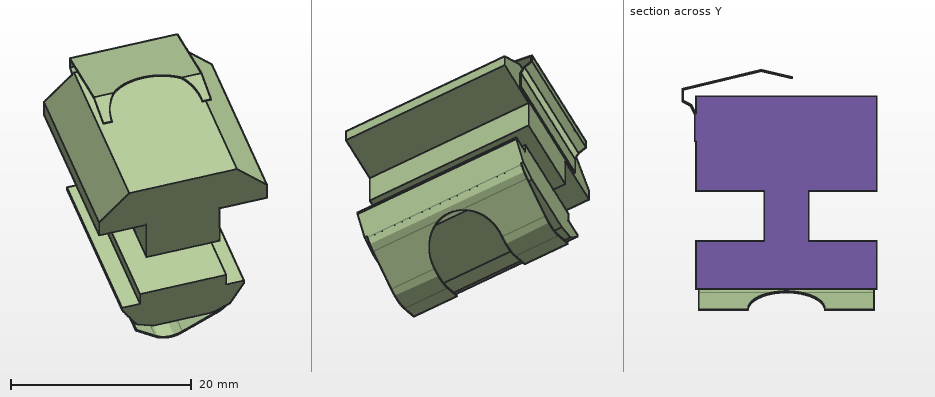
import cadquery as cq
import math

body_length = 20.0
screw_diameter = 5.0
screw_gap = 5.5
strip_thickness = 0.15

clamp_width = 19.5
clamp_chamfer = 3.5
clamp_shoulder_height = 2.0
stem_width = 8.5
stem_height = 5.0
clamp_bottom = screw_gap
shoulder_bottom = clamp_bottom + stem_height
shoulder_top = shoulder_bottom + clamp_shoulder_height
clamp_top = shoulder_top + clamp_chamfer
plateau_width = clamp_width - 2 * clamp_chamfer

nut_neck_width = 10.0
nut_neck_height = 1.5
nut_width = 14.15
nut_lip_height = 0.4
nut_corner_width = 10.9
nut_base_width = 6.9
nut_height = 5.35
nut_corner_z = -4.55
nut_lip_z = -nut_neck_height - nut_lip_height

upper_overhang = 1.53
upper_tip_x = 0.65
upper_tip_rise = 2.1
upper_peak_x = -2.8
upper_peak_rise = 2.9
upper_shoulder_rise = 0.8
upper_hook_drop = 0.6
upper_crease_offset = 0.6
upper_crease_drop = 1.1
upper_leg_drop = 2.0
upper_leg_end_drop = 5.0
upper_notch_radius = 5.25

lower_length = 19.4
lower_start_z = -2.3
lower_bend_z = -5.43
lower_valley_y = -1.7
lower_valley_z = -8.48
lower_tip_y = -5.4
lower_tip_z = -5.82
lower_bend_radius = 3.0
lower_notch_radius = 4.25


def mirrored_prism(half_outline):
    """Extrude a YZ outline, given on its +Y half from top to bottom, along the body."""
    other_half = [(-y, z) for y, z in reversed(half_outline)]
    return (
        cq.Workplane("YZ")
        .polyline(half_outline + other_half)
        .close()
        .extrude(body_length / 2, both=True)
    )


def left_offset(points, distance):
    """Shift an open polyline to the left of its direction, with mitred corners."""
    headings = [math.atan2(b[1] - a[1], b[0] - a[0]) for a, b in zip(points, points[1:])]
    arriving = headings[:1] + headings
    leaving = headings + headings[-1:]
    shifted = []
    for (u, v), heading_in, heading_out in zip(points, arriving, leaving):
        mean_heading = (heading_in + heading_out) / 2
        miter = distance / math.cos((heading_out - heading_in) / 2)
        shifted.append((u - miter * math.sin(mean_heading), v + miter * math.cos(mean_heading)))
    return shifted


def bent_strip(plane, points, shifted, width):
    """Extrude the thin band between a polyline and its offset, centred on the plane."""
    return (
        cq.Workplane(plane)
        .polyline(points + shifted[::-1])
        .close()
        .extrude(width / 2, both=True)
    )


def make_clamp():
    return mirrored_prism([
        (plateau_width / 2, clamp_top),
        (clamp_width / 2, shoulder_top),
        (clamp_width / 2, shoulder_bottom),
        (stem_width / 2, shoulder_bottom),
        (stem_width / 2, clamp_bottom),
    ])


def make_nut():
    return mirrored_prism([
        (nut_neck_width / 2, 0),
        (nut_neck_width / 2, -nut_neck_height),
        (nut_width / 2, -nut_neck_height),
        (nut_width / 2, nut_lip_z),
        (nut_corner_width / 2, nut_corner_z),
        (nut_base_width / 2, -nut_height),
    ])


def make_screw():
    return cq.Workplane("XY").circle(screw_diameter / 2).extrude(screw_gap)


def make_upper_spring():
    """Strip hooked on the -X end face, rising over the clamp to a notched tip."""
    end_face_x = -body_length / 2
    outer_x = end_face_x - upper_overhang
    leg_x = end_face_x - strip_thickness
    outer_face = [
        (upper_tip_x, clamp_top + upper_tip_rise),
        (upper_peak_x, clamp_top + upper_peak_rise),
        (outer_x, clamp_top + upper_shoulder_rise),
        (outer_x, clamp_top - upper_hook_drop),
        (end_face_x - upper_crease_offset, clamp_top - upper_crease_drop),
        (leg_x, clamp_top - upper_leg_drop),
        (leg_x, clamp_top - upper_leg_end_drop),
    ]
    inner_face = left_offset(outer_face, strip_thickness)
    strip = bent_strip("XZ", outer_face, inner_face, plateau_width)
    notch = (
        cq.Workplane("XY", origin=(upper_tip_x, 0, clamp_top))
        .circle(upper_notch_radius)
        .extrude(2 * upper_peak_rise)
    )
    return strip.cut(notch)


def make_lower_spring():
    """Strip lying on the +Y flank of the nut and sweeping below it to a forked tip."""
    flank_run = (nut_width - nut_corner_width) / 2
    flank_slope = flank_run / (nut_lip_z - nut_corner_z)

    def flank_y(z):
        return nut_corner_width / 2 + flank_slope * (z - nut_corner_z)

    inner_face = [
        (flank_y(lower_start_z), lower_start_z),
        (flank_y(lower_bend_z), lower_bend_z),
        (lower_valley_y, lower_valley_z),
        (lower_tip_y, lower_tip_z),
    ]
    outer_face = left_offset(inner_face, -strip_thickness)
    strip = bent_strip("YZ", inner_face, outer_face, lower_length)
    outer_bend_radius = lower_bend_radius + strip_thickness
    for face, radius in ((inner_face, lower_bend_radius), (outer_face, outer_bend_radius)):
        for y, z in face[1:-1]:
            strip = strip.edges(cq.selectors.NearestToPointSelector((0, y, z))).fillet(radius)

    fork_gap = (
        cq.Workplane("XY")
        .moveTo(lower_notch_radius, -clamp_width / 2)
        .lineTo(lower_notch_radius, 0)
        .threePointArc((0, lower_notch_radius), (-lower_notch_radius, 0))
        .lineTo(-lower_notch_radius, -clamp_width / 2)
        .close()
        .extrude(lower_valley_z)
    )
    return strip.cut(fork_gap)


result = (
    make_clamp()
    .union(make_screw())
    .union(make_nut())
    .union(make_upper_spring())
    .union(make_lower_spring())
)